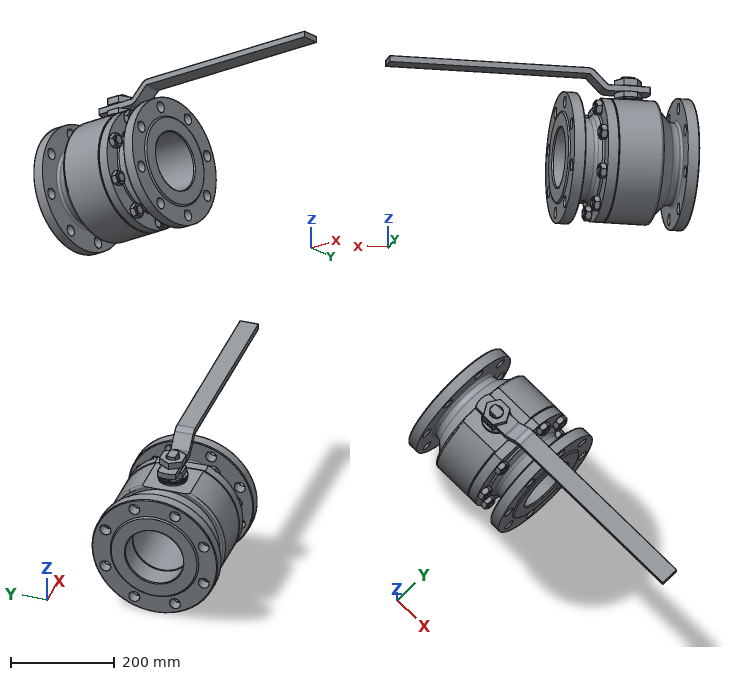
import cadquery as cq
import math


bore_d = 118.5
mouth_d = 121.0
mouth_depth = 3.0
seat_groove_d = 121.0
seat_groove_width = 1.0
seat_groove_x = 49.0

valve_length = 254.0
flange_d = 255.0
flange_thickness = 23.0
flange_chamfer = 2.0
raised_face_height = 3.0
raised_face_root_d = 180.0
raised_face_d = 174.0
flange_hole_d = 22.0
flange_hole_count = 8
flange_hole_circle_d = 216.0

neck_d = 160.0
neck_fillet = 5.0
inlet_neck_end_x = 32.5
inlet_blend_r = 20.0
outlet_neck_start_x = 201.0
outlet_blend_r = 10.0
cone_angle = math.radians(45)

drum_start_x = 71.0
drum_end_x = 161.5
drum_d = 241.5
drum_fillet = 5.0
drum_chamfer = 2.0
drum_flat_z = 111.0
cover_end_x = 182.5
cover_flat_z = 109.5
cover_hub_length = 5.0

hexagon_sides = 6

stud_count = 8
stud_circle_r = 105.5
stud_first_angle = 32.6
stud_d = 18.0
stud_length = 15.0
cover_nut_corner_d = 30.0
cover_nut_height = 12.5
cover_nut_chamfer = 2.5

stem_x = 116.5
stem_d = 26.5
stem_top_z = 167.0
stem_flat_width = 18.0
nut_corner_d = 53.0
nut_top_z = 160.5
lower_nut_z = 122.5
washer_d = 58.0
washer_thickness = 3.0
lower_washer_z = 115.0
spindle_d = 42.0
base_d = 56.0

lever_tip_x = 592.0
overall_height = 306.0
lever_top_z = overall_height - flange_d / 2
lever_width = 37.0
lever_thickness = 12.0
lever_end_r = 43.0
clamp_bottom_z = 135.0
clamp_top_z = clamp_bottom_z + lever_thickness
rise_start_x = 160.0
lever_slope = math.radians(45)
bend_outer_r = 21.0
bend_inner_r = 4.0


def x_cylinder(start_x, end_x, diameter):
    """A cylinder on the bore axis between two X positions."""
    return cq.Workplane("YZ", origin=(start_x, 0, 0)).circle(diameter / 2).extrude(end_x - start_x)


def z_cylinder(bottom_z, top_z, diameter):
    """A cylinder on the stem axis between two heights."""
    return cq.Workplane("XY", origin=(stem_x, 0, bottom_z)).circle(diameter / 2).extrude(top_z - bottom_z)


def stem_nut(bottom_z, top_z):
    """A hexagon on the stem axis with two corners along X."""
    hexagon = cq.Workplane("XY", origin=(stem_x, 0, bottom_z)).polygon(hexagon_sides, nut_corner_d)
    return hexagon.extrude(top_z - bottom_z)


def flange(start_x):
    """A flange disc, chamfered on its -X rim, with a ring of bolt holes straddling Y and Z."""
    disc = x_cylinder(start_x, start_x + flange_thickness, flange_d)
    disc = disc.faces("<X").edges().chamfer(flange_chamfer)
    half_step = 180 / flange_hole_count
    holes = (
        cq.Workplane("YZ", origin=(start_x, 0, 0))
        .polarArray(flange_hole_circle_d / 2, half_step, 360, flange_hole_count)
        .circle(flange_hole_d / 2)
        .extrude(flange_thickness)
    )
    return disc.cut(holes)


def raised_face(flange_face_x, outward):
    """A tapered sealing face standing out of a flange in the -X (-1) or +X (+1) direction."""
    end_x = flange_face_x + outward * raised_face_height
    return revolve_about_bore([(flange_face_x, raised_face_root_d / 2), (end_x, raised_face_d / 2)])


def revolve_about_bore(outline):
    """Revolve an outline of (x, radius) points, closed down to the bore axis."""
    closed = [(outline[0][0], 0), *outline, (outline[-1][0], 0)]
    return cq.Workplane("XZ").polyline(closed).close().revolve(360, (0, 0, 0), (1, 0, 0))


def neck(flange_x, neck_end_x, blend_r, cone_end_x, direction):
    """A neck from a flange inwards: fillet, cylinder, blend arc and cone up to cone_end_x."""
    radius = neck_d / 2
    diagonal = math.sqrt(0.5)
    fillet_x = flange_x + direction * neck_fillet
    fillet_middle = (fillet_x - direction * neck_fillet * diagonal, radius + neck_fillet * (1 - diagonal))

    def blend_point(angle):
        return (
            neck_end_x + direction * blend_r * math.sin(angle),
            radius + blend_r * (1 - math.cos(angle)),
        )

    cone_x, cone_r = blend_point(cone_angle)
    cone_end_r = cone_r + abs(cone_end_x - cone_x) * math.tan(cone_angle)
    return (
        cq.Workplane("XZ")
        .moveTo(flange_x, 0)
        .lineTo(flange_x, radius + neck_fillet)
        .threePointArc(fillet_middle, (fillet_x, radius))
        .lineTo(neck_end_x, radius)
        .threePointArc(blend_point(cone_angle / 2), (cone_x, cone_r))
        .lineTo(cone_end_x, cone_end_r)
        .lineTo(cone_end_x, 0)
        .close()
        .revolve(360, (0, 0, 0), (1, 0, 0))
    )


def flatten_top(solid, flat_z):
    """Cut away everything above flat_z."""
    above = cq.Workplane("XY", origin=(valve_length / 2, 0, flat_z)).rect(valve_length, flange_d)
    return solid.cut(above.extrude(flange_d))


def cover_stud(angle):
    """A stud end with its chamfered hexagon nut, at an angle in degrees from the top of the cover."""
    y = stud_circle_r * math.sin(math.radians(angle))
    z = stud_circle_r * math.cos(math.radians(angle))
    seat = cq.Workplane("YZ", origin=(cover_end_x, y, z))
    blank = seat.circle(cover_nut_corner_d / 2).extrude(cover_nut_height)
    blank = blank.faces("<X or >X").edges().chamfer(cover_nut_chamfer)
    nut = seat.polygon(hexagon_sides, cover_nut_corner_d).extrude(cover_nut_height).intersect(blank)
    return nut.union(seat.circle(stud_d / 2).extrude(stud_length))


def stem_flatted(bottom_z, top_z):
    """A length of the stem with its two flats, facing -Y and +Y."""
    flats = cq.Workplane("XY", origin=(stem_x, 0, bottom_z)).rect(stem_d, stem_flat_width)
    return z_cylinder(bottom_z, top_z, stem_d).intersect(flats.extrude(top_z - bottom_z))


def make_stem():
    """The stem with its base, washers and nuts. Its flatted end passes through the lever and upper nut."""
    upper_washer_z = lower_nut_z - washer_thickness
    stem = z_cylinder(0, lower_washer_z, base_d)
    stem = stem.union(z_cylinder(lower_washer_z, lower_washer_z + washer_thickness, washer_d))
    stem = stem.union(z_cylinder(lower_washer_z, lower_nut_z, spindle_d))
    stem = stem.union(z_cylinder(upper_washer_z, lower_nut_z, washer_d))
    stem = stem.union(stem_nut(lower_nut_z, clamp_bottom_z))
    upper_nut = stem_nut(clamp_top_z, nut_top_z).cut(z_cylinder(clamp_top_z, nut_top_z, stem_d))
    stem = stem.union(upper_nut)
    return stem.union(stem_flatted(clamp_bottom_z, stem_top_z))


def make_valve():
    """The housing, cover, flanges, studs and stem as one solid with an open bore."""
    inlet_face_x = raised_face_height
    outlet_face_x = valve_length - raised_face_height
    outlet_flange_x = outlet_face_x - flange_thickness
    inlet_back_x = inlet_face_x + flange_thickness
    hub_end_x = cover_end_x + cover_hub_length

    drum = x_cylinder(drum_start_x, drum_end_x, drum_d)
    drum = drum.faces("<X").edges().fillet(drum_fillet)
    drum = drum.faces(">X").edges().chamfer(drum_chamfer)
    valve = flatten_top(drum, drum_flat_z)
    valve = valve.union(flatten_top(x_cylinder(drum_end_x, cover_end_x, drum_d), cover_flat_z))

    valve = valve.union(flange(inlet_face_x))
    valve = valve.union(raised_face(inlet_face_x, -1))
    valve = valve.union(neck(inlet_back_x, inlet_neck_end_x, inlet_blend_r, drum_start_x, 1))

    valve = valve.union(flange(outlet_flange_x))
    valve = valve.union(raised_face(outlet_face_x, 1))
    outlet_neck = neck(outlet_flange_x, outlet_neck_start_x, outlet_blend_r, hub_end_x, -1)
    valve = valve.union(outlet_neck)
    hub_d = 2 * outlet_neck.faces("<X").val().BoundingBox().zmax
    valve = valve.union(x_cylinder(cover_end_x, hub_end_x, hub_d))

    stud_step = (360 - 2 * stud_first_angle) / (stud_count - 1)
    for index in range(stud_count):
        valve = valve.union(cover_stud(stud_first_angle + index * stud_step))

    valve = valve.union(make_stem())

    bore = revolve_about_bore(
        [
            (0, mouth_d / 2),
            (mouth_depth, bore_d / 2),
            (valve_length - mouth_depth, bore_d / 2),
            (valve_length, mouth_d / 2),
        ]
    )
    valve = valve.cut(bore)
    return valve.cut(x_cylinder(seat_groove_x, seat_groove_x + seat_groove_width, seat_groove_d))


def make_lever():
    """A bar clamped between the nuts, stepping up at 45 degrees to a long straight handle."""
    handle_bottom_z = lever_top_z - lever_thickness
    rise = lever_top_z - clamp_top_z
    rise_end_x = rise_start_x + rise / math.tan(lever_slope)
    underside_shift = lever_thickness * math.tan(lever_slope / 2)
    start_x = stem_x - lever_end_r
    corners = [
        (start_x, clamp_top_z),
        (rise_start_x, clamp_top_z),
        (rise_end_x, lever_top_z),
        (lever_tip_x, lever_top_z),
        (lever_tip_x, handle_bottom_z),
        (rise_end_x + underside_shift, handle_bottom_z),
        (rise_start_x + underside_shift, clamp_bottom_z),
        (start_x, clamp_bottom_z),
    ]
    lever = cq.Workplane("XZ").polyline(corners).close().extrude(lever_width / 2, both=True)
    bends = [
        (corners[1], bend_inner_r),
        (corners[2], bend_outer_r),
        (corners[5], bend_inner_r),
        (corners[6], bend_outer_r),
    ]
    for (x, z), radius in bends:
        lever = lever.edges(cq.NearestToPointSelector((x, 0, z))).fillet(radius)

    square_end = cq.Workplane("XY", origin=(stem_x - lever_end_r / 2, 0, clamp_bottom_z))
    square_end = square_end.rect(lever_end_r, lever_width).extrude(lever_thickness)
    lever = lever.cut(square_end.cut(z_cylinder(clamp_bottom_z, clamp_top_z, 2 * lever_end_r)))
    return lever.cut(stem_flatted(clamp_bottom_z, clamp_top_z))


valve = make_valve()
lever = make_lever()
result = cq.Compound.makeCompound([valve.val(), lever.val()])